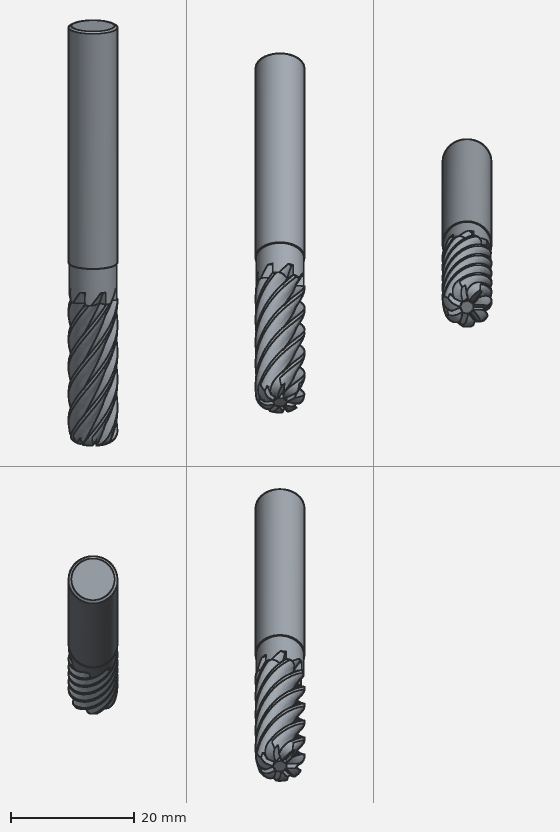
import cadquery as cq
import math


TOTAL_LENGTH = 70.0
SHANK_DIAMETER = 8.0
SHANK_RADIUS = SHANK_DIAMETER / 2
SHANK_START = 30.25
TOP_CHAMFER_WIDTH = 0.5
TOP_CHAMFER_HEIGHT = 0.3

NECK_DIAMETER = 7.8
NECK_RADIUS = NECK_DIAMETER / 2
NECK_STEP = SHANK_RADIUS - NECK_RADIUS
RUNOUT_HEIGHT = 2.0
POCKET_OUTER_RADIUS = 4.9

HEAD_LENGTH = 24.0
CORNER_RADIUS = 2.0
LAND_CLEARANCE = 0.01
ENVELOPE_RADIUS = SHANK_RADIUS + LAND_CLEARANCE
FLUTE_COUNT = 7
TOOTH_PITCH = 360.0 / FLUTE_COUNT
HELIX_LEAD = 32.0
EDGE_ANGLE_AT_NECK = -110.2

LAND_ANGLE = 9.5
RELIEF_MIDDLE_ANGLE = 19.0
RELIEF_MIDDLE_RADIUS = 3.8
RELIEF_END_ANGLE = 29.0
RELIEF_END_RADIUS = 3.3
FLUTE_BOTTOM_ANGLE = 44.5
FLUTE_BOTTOM_RADIUS = 2.6

GASH_DEPTH = 1.3
GASH_WIDTH = 0.9
GASH_INNER_RADIUS = 1.05
GASH_LAG_ANGLE = 16.0


def polar(radius, angle):
    """Point at a radius and an angle in degrees."""
    turn = math.radians(angle)
    return (radius * math.cos(turn), radius * math.sin(turn))


def helix_turn(height):
    """Degrees the flutes turn over a height."""
    return 360.0 * height / HELIX_LEAD


def add_flute(section, edge_angle):
    """Extend a section from the heel of one land through the bottom of the flute behind it."""
    return section.threePointArc(
        polar(RELIEF_MIDDLE_RADIUS, edge_angle + RELIEF_MIDDLE_ANGLE),
        polar(RELIEF_END_RADIUS, edge_angle + RELIEF_END_ANGLE),
    ).lineTo(*polar(FLUTE_BOTTOM_RADIUS, edge_angle + FLUTE_BOTTOM_ANGLE))


def tooth_section(edge_angle):
    """Cross-section of all the teeth, with one cutting edge at the given angle."""
    section = cq.Workplane("XY").moveTo(*polar(SHANK_RADIUS, edge_angle))
    for tooth in range(FLUTE_COUNT):
        edge = edge_angle + tooth * TOOTH_PITCH
        if tooth > 0:
            section = section.lineTo(*polar(SHANK_RADIUS, edge))
        section = section.threePointArc(
            polar(SHANK_RADIUS, edge + LAND_ANGLE / 2),
            polar(SHANK_RADIUS, edge + LAND_ANGLE),
        )
        section = add_flute(section, edge)
    return section.close()


def pocket_section(edge_angle):
    """Cross-section of one flute, opening outwards beyond the neck."""
    heel_angle = edge_angle + LAND_ANGLE
    next_edge_angle = edge_angle + TOOTH_PITCH
    heel = cq.Workplane("XY", origin=(0, 0, HEAD_LENGTH)).moveTo(*polar(SHANK_RADIUS, heel_angle))
    return (
        add_flute(heel, edge_angle)
        .lineTo(*polar(SHANK_RADIUS, next_edge_angle))
        .lineTo(*polar(POCKET_OUTER_RADIUS, next_edge_angle))
        .lineTo(*polar(POCKET_OUTER_RADIUS, heel_angle))
        .close()
    )


def make_gashes(edge_angle):
    """Radial notches in the end face, triangular in section, upright on the tooth side."""
    profile = [(-GASH_WIDTH / 2, 0), (GASH_WIDTH / 2, 0), (GASH_WIDTH / 2, GASH_DEPTH)]
    gash = (
        cq.Workplane("YZ", origin=(GASH_INNER_RADIUS, 0, 0))
        .polyline(profile)
        .close()
        .extrude(SHANK_RADIUS)
    )
    gashes = []
    for tooth in range(FLUTE_COUNT):
        angle = edge_angle - GASH_LAG_ANGLE + tooth * TOOTH_PITCH
        gashes.append(gash.rotate((0, 0, 0), (0, 0, 1), angle).val())
    return gashes


def make_cutting_head():
    """Helically fluted head with a rounded corner and end gashes."""
    edge_at_tip = EDGE_ANGLE_AT_NECK - helix_turn(HEAD_LENGTH)
    head = tooth_section(edge_at_tip).twistExtrude(HEAD_LENGTH, helix_turn(HEAD_LENGTH))
    envelope = (
        cq.Workplane("XY")
        .circle(ENVELOPE_RADIUS)
        .extrude(HEAD_LENGTH)
        .faces("<Z")
        .edges()
        .fillet(CORNER_RADIUS)
    )
    head = head.intersect(envelope)
    for gash in make_gashes(edge_at_tip):
        head = head.cut(cq.Workplane(gash))
    return head


def make_runout_pocket(edge_angle):
    """End of one flute in the neck, narrowing between a helical heel and an upright wall."""
    helical = pocket_section(edge_angle).twistExtrude(RUNOUT_HEIGHT, helix_turn(RUNOUT_HEIGHT))
    upright = pocket_section(edge_angle).extrude(RUNOUT_HEIGHT)
    return helical.intersect(upright)


def make_shank():
    """Plain shank and neck, with a flute runout above each flute of the head."""
    profile = [
        (0, HEAD_LENGTH),
        (-NECK_RADIUS, HEAD_LENGTH),
        (-NECK_RADIUS, SHANK_START - NECK_STEP),
        (-SHANK_RADIUS, SHANK_START),
        (-SHANK_RADIUS, TOTAL_LENGTH - TOP_CHAMFER_HEIGHT),
        (-SHANK_RADIUS + TOP_CHAMFER_WIDTH, TOTAL_LENGTH),
        (0, TOTAL_LENGTH),
    ]
    body = cq.Workplane("YZ").polyline(profile).close().revolve(360, (0, 0, 0), (0, 1, 0))
    for flute in range(FLUTE_COUNT):
        body = body.cut(make_runout_pocket(EDGE_ANGLE_AT_NECK + flute * TOOTH_PITCH))
    return body


cutting_head = make_cutting_head()
shank = make_shank()

result = cq.Compound.makeCompound([cutting_head.solids().val(), shank.solids().val()])